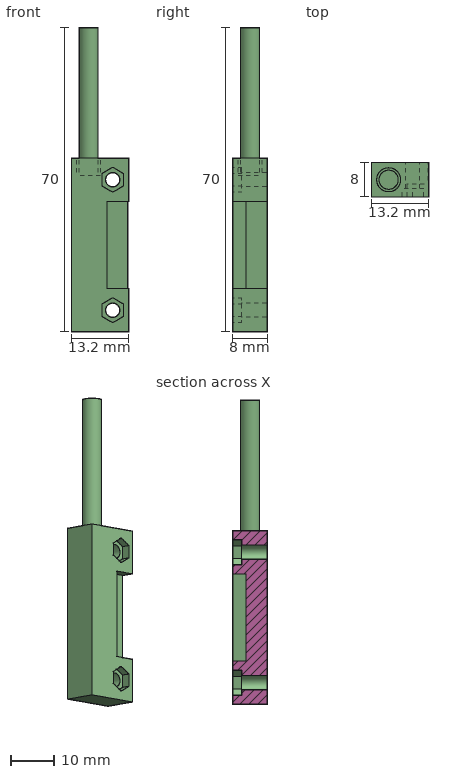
import cadquery as cq

total_height = 70.0
housing_width = 13.2
housing_depth = 8.0
housing_height = 40.0

cable_diameter = 4.4
cable_x = 4.0
cable_y = housing_depth / 2
entry_diameter = 5.5
entry_depth = 4.0

hole_diameter = 3.2
hole_x = 9.5
hole_end_distance = 5.0
nut_across_flats = 5.0
nut_pocket_depth = 2.0

notch_left_x = 8.2
notch_end_distance = 10.0
notch_depth = 3.0
notch_floor_setback = 0.2


def make_cable():
    return (
        cq.Workplane("XY", origin=(cable_x, cable_y, housing_height - entry_depth))
        .circle(cable_diameter / 2)
        .extrude(total_height - housing_height + entry_depth)
    )


def cut_cable_entry(body):
    """Sink a round recess into the top; the cable stands on the recess floor."""
    top = cq.Workplane("XY", origin=(cable_x, cable_y, housing_height))
    entry = top.circle(entry_diameter / 2).extrude(-entry_depth)
    return body.cut(entry)


def cut_notch(body):
    """Recess the -Y face at the +X edge, with the floor's edge set back slightly."""
    notch_height = housing_height - 2 * notch_end_distance
    front_recess = cq.Workplane("XY").box(
        housing_width - notch_left_x, notch_depth, notch_height, centered=False
    ).translate((notch_left_x, 0, notch_end_distance))
    edge_setback = cq.Workplane("XY").box(
        notch_floor_setback, housing_depth, notch_height, centered=False
    ).translate((housing_width - notch_floor_setback, 0, notch_end_distance))
    return body.cut(front_recess).cut(edge_setback)


def cut_mounting_hole(body, hole_z):
    """Cut a through hole along Y and a nut pocket with its corners pointing up and down."""
    face = cq.Workplane(cq.Plane(origin=(hole_x, 0, hole_z), xDir=(1, 0, 0), normal=(0, 1, 0)))
    hole = face.circle(hole_diameter / 2).extrude(housing_depth)
    pocket = face.polygon(6, nut_across_flats, circumscribed=True).extrude(nut_pocket_depth)
    return body.cut(hole).cut(pocket)


def make_housing():
    body = cq.Workplane("XY").box(housing_width, housing_depth, housing_height, centered=False)
    body = cut_cable_entry(body)
    body = cut_notch(body)
    for hole_z in (hole_end_distance, housing_height - hole_end_distance):
        body = cut_mounting_hole(body, hole_z)
    return body


housing = make_housing()
cable = make_cable()
result = cq.Compound.makeCompound([housing.val(), cable.val()])